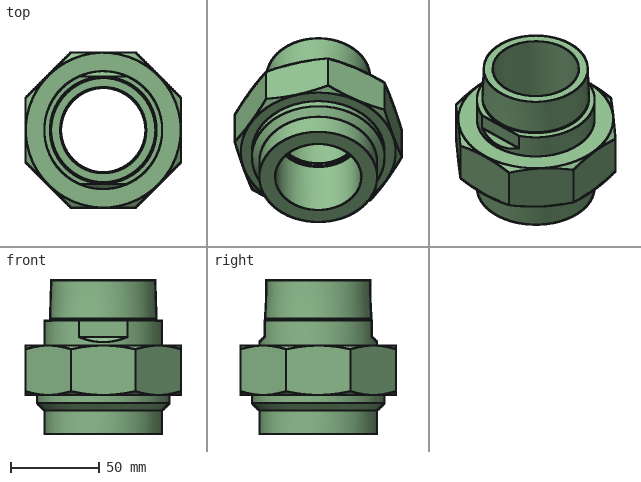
import cadquery as cq
import math

socket_top = 13.3
shoulder_bottom = 17.4
nut_bottom = 22.0
seal_bottom = 37.8
seal_top = 40.5
flange_top = 45.8
nut_top = 50.2
wrench_flat_bottom = 55.0
collar_top = 64.15
neck_top = 64.8
thread_bottom = 65.3
total_height = 87.0

across_flats = 88.0
bore_radius = 24.4
seal_bore_radius = 23.85
pipe_radius = 33.35
joint_radius = 37.6
neck_radius = 29.6
thread_base_radius = 30.2
thread_tip_radius = 29.5
wrench_flat_distance = 30.4

nut_sides = 8
nut_face_radius = 43.8
nut_chamfer_angle = 30.0


def revolve_profile(points):
    """Revolve a closed outline of (radius, height) points about Z."""
    return cq.Workplane("XZ").polyline(points).close().revolve(360, (0, 0), (0, 1))


def make_lower_socket():
    """Lower fitting: socket end, conical shoulder and joint cylinder."""
    return revolve_profile([
        (bore_radius, 0),
        (pipe_radius, 0),
        (pipe_radius, socket_top),
        (joint_radius, shoulder_bottom),
        (joint_radius, seal_bottom),
        (bore_radius, seal_bottom),
    ])


def make_seal():
    """Flat ring whose inner edge stands slightly into the bore."""
    return revolve_profile([
        (seal_bore_radius, seal_bottom),
        (pipe_radius, seal_bottom),
        (pipe_radius, seal_top),
        (seal_bore_radius, seal_top),
    ])


def make_wrench_flat_cutter():
    """Cutter for the -Y wrench flat, with a 45 degree run-out at its foot."""
    depth = pipe_radius - wrench_flat_distance
    return (
        cq.Workplane("YZ")
        .polyline([
            (-wrench_flat_distance, collar_top),
            (-wrench_flat_distance, wrench_flat_bottom),
            (-pipe_radius, wrench_flat_bottom - depth),
            (-pipe_radius, collar_top),
        ])
        .close()
        .extrude(pipe_radius, both=True)
    )


def make_tail():
    """Upper fitting: retained flange, collar with wrench flats, tapered end."""
    tail = revolve_profile([
        (bore_radius, seal_top),
        (joint_radius, seal_top),
        (joint_radius, flange_top),
        (pipe_radius, flange_top),
        (pipe_radius, collar_top),
        (neck_radius, collar_top),
        (neck_radius, neck_top),
        (thread_base_radius, thread_bottom),
        (thread_tip_radius, total_height),
        (bore_radius, total_height),
    ])
    flat_cutter = make_wrench_flat_cutter()
    for angle in (0, 180):
        tail = tail.cut(flat_cutter.rotate((0, 0, 0), (0, 0, 1), angle))
    return tail


def make_nut():
    """Octagonal union nut with chamfered corners and an inward top lip."""
    corner_radius = across_flats / 2 / math.cos(math.pi / nut_sides)
    prism = (
        cq.Workplane("XY", origin=(0, 0, nut_bottom))
        .polygon(nut_sides, 2 * corner_radius)
        .extrude(nut_top - nut_bottom)
        .rotate((0, 0, 0), (0, 0, 1), 180 / nut_sides)
    )
    corner_drop = (corner_radius - nut_face_radius) * math.tan(math.radians(nut_chamfer_angle))
    envelope = revolve_profile([
        (joint_radius, nut_bottom),
        (nut_face_radius, nut_bottom),
        (corner_radius, nut_bottom + corner_drop),
        (corner_radius, nut_top - corner_drop),
        (nut_face_radius, nut_top),
        (pipe_radius, nut_top),
        (pipe_radius, flange_top),
        (joint_radius, flange_top),
    ])
    return prism.intersect(envelope)


lower_socket = make_lower_socket()
seal = make_seal()
tail = make_tail()
nut = make_nut()

result = cq.Compound.makeCompound([
    lower_socket.val(),
    seal.val(),
    tail.val(),
    nut.solids().val(),
])